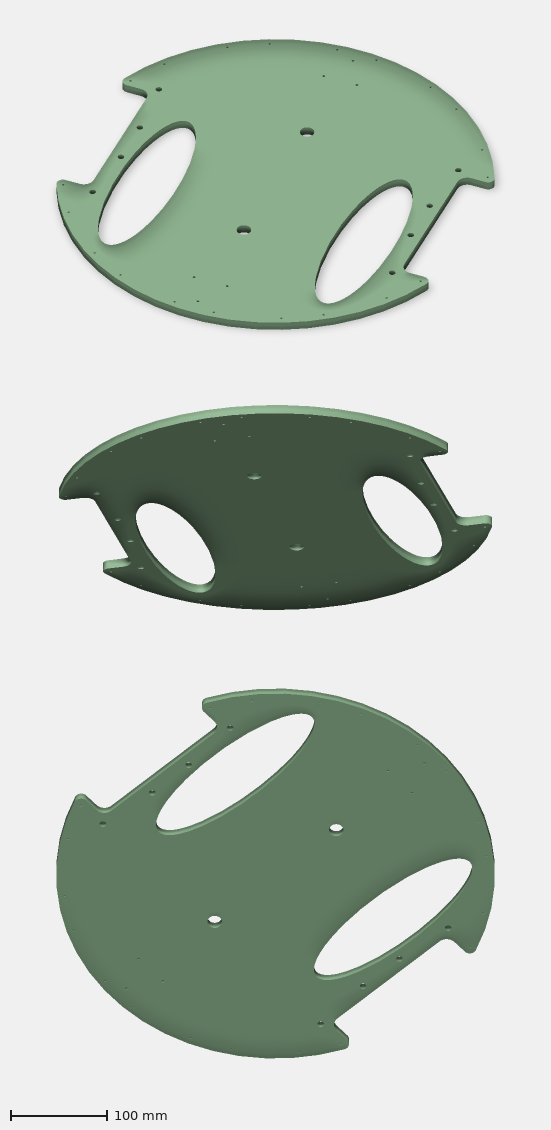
import cadquery as cq
import math

plate_diameter = 454.0
plate_radius = plate_diameter / 2
thickness = 9.5

waist_half_width = 174.5
notch_half_height = 82.0
notch_corner_radius = 11.0
tip_radius = 7.0

window_width = 64.5
window_height = 213.5
window_x = 121.5
window_y = -54.0

rim_hole_diameter = 2.3
rim_hole_circle_radius = 219.7
rim_station_spacing = 30
rim_first_station = 15
rim_pair_half_angle = 9.25

end_hole_diameter = 2.8
end_hole_y = 208.5
end_pair_x = 18.5
end_pair_y = 174.5

center_hole_diameter = 15.0
center_hole_y = 85.0

side_hole_diameter = 7.0
notch_hole_x = 168.0
notch_hole_y = 89.0
waist_hole_x = 162.5
waist_hole_spacing = 51.0
waist_holes_center_y = -0.5


def mirrored(x, y):
    """Return the four points (+-x, +-y)."""
    return [(sx * x, sy * y) for sx in (-1, 1) for sy in (-1, 1)]


def drill(body, points, diameter):
    """Cut through holes at the given points."""
    cutters = cq.Workplane("XY").pushPoints(points).circle(diameter / 2).extrude(thickness)
    return body.cut(cutters)


def make_plate():
    """Disc with a rounded notch on each side."""
    body = cq.Workplane("XY").circle(plate_radius).extrude(thickness)
    notch_depth = plate_radius - waist_half_width
    notch_center_x = waist_half_width + notch_depth / 2
    notches = (
        cq.Workplane("XY")
        .pushPoints([(-notch_center_x, 0), (notch_center_x, 0)])
        .rect(notch_depth, 2 * notch_half_height)
        .extrude(thickness)
    )
    body = body.cut(notches)

    body = body.edges("|Z").edges("<X or >X").fillet(tip_radius)

    inner_corners = cq.selectors.BoxSelector(
        (-notch_center_x, -plate_radius, 0), (notch_center_x, plate_radius, thickness)
    )
    return body.edges("|Z").edges(inner_corners).fillet(notch_corner_radius)


def cut_windows(body):
    """Cut the two oval windows."""
    windows = (
        cq.Workplane("XY")
        .pushPoints([(-window_x, window_y), (window_x, window_y)])
        .ellipse(window_width / 2, window_height / 2)
        .extrude(thickness)
    )
    return body.cut(windows)


def rim_hole_points():
    """Rim hole centres, leaving out those that fall in the notches."""
    points = []
    for station in range(rim_first_station, 360, rim_station_spacing):
        for offset in (-rim_pair_half_angle, rim_pair_half_angle):
            angle = math.radians(station + offset)
            x = rim_hole_circle_radius * math.cos(angle)
            y = rim_hole_circle_radius * math.sin(angle)
            if abs(y) > notch_half_height:
                points.append((x, y))
    return points


end_hole_points = mirrored(end_pair_x, end_pair_y) + [(0, -end_hole_y), (0, end_hole_y)]
center_hole_points = [(0, -center_hole_y), (0, center_hole_y)]
waist_hole_points = [
    (x, waist_holes_center_y + y) for x, y in mirrored(waist_hole_x, waist_hole_spacing / 2)
]
side_hole_points = mirrored(notch_hole_x, notch_hole_y) + waist_hole_points

result = cut_windows(make_plate())
result = drill(result, rim_hole_points(), rim_hole_diameter)
result = drill(result, end_hole_points, end_hole_diameter)
result = drill(result, center_hole_points, center_hole_diameter)
result = drill(result, side_hole_points, side_hole_diameter)